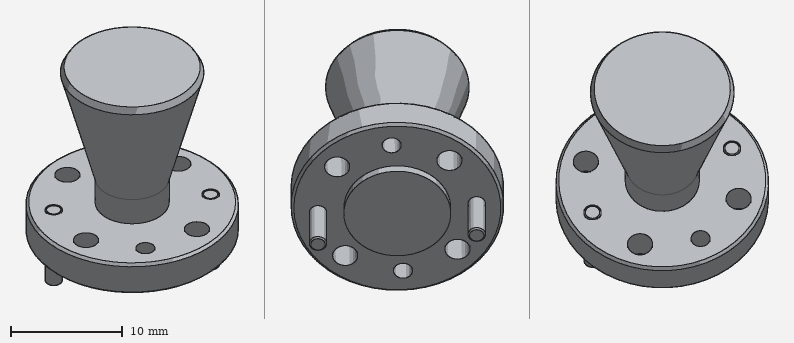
import cadquery as cq
import math

flange_diameter = 19.05
flange_radius = flange_diameter / 2
flange_thickness = 3.3
flange_chamfer = 0.25
boss_radius = 4.8
boss_height = 0.8

overall_height = 22.92
neck_radius = 3.32
neck_height = 2.68
knob_radius = 6.45
knob_top_radius = 6.1
knob_bevel_height = 0.62

hole_circle_radius = 7.13
screw_hole_radius = 1.12
dowel_hole_radius = 0.85
screw_hole_angles = (0, 90, 180, 270)
dowel_hole_angles = (135, 315)
pin_angles = (45, 225)

pin_radius = 0.78
pin_chamfer = 0.14
pin_projection = 4.65

neck_top = flange_thickness + neck_height
knob_top = overall_height - pin_projection
knob_rim = knob_top - knob_bevel_height


def on_hole_circle(angle):
    """Return the XY point on the hole circle at an angle in degrees."""
    turn = math.radians(angle)
    return (hole_circle_radius * math.cos(turn), hole_circle_radius * math.sin(turn))


def cut_through_flange(body, angles, radius):
    """Cut round holes through the flange on the hole circle."""
    points = [on_hole_circle(angle) for angle in angles]
    drills = cq.Workplane("XY").pushPoints(points).circle(radius).extrude(flange_thickness)
    return body.cut(drills)


def make_flanged_knob():
    """Revolve the boss, flange, neck and flared knob, then cut the flange holes."""
    profile = [
        (0, -boss_height),
        (boss_radius, -boss_height),
        (boss_radius, 0),
        (flange_radius - flange_chamfer, 0),
        (flange_radius, flange_chamfer),
        (flange_radius, flange_thickness - flange_chamfer),
        (flange_radius - flange_chamfer, flange_thickness),
        (neck_radius, flange_thickness),
        (neck_radius, neck_top),
        (knob_radius, knob_rim),
        (knob_top_radius, knob_top),
        (0, knob_top),
    ]
    body = cq.Workplane("XZ").polyline(profile).close().revolve(360, (0, 0, 0), (0, 1, 0))
    body = cut_through_flange(body, screw_hole_angles, screw_hole_radius)
    body = cut_through_flange(body, dowel_hole_angles, dowel_hole_radius)
    return cut_through_flange(body, pin_angles, pin_radius)


def make_pin(angle):
    """Make a pin with chamfered ends, flush with the flange top and projecting below it."""
    x, y = on_hole_circle(angle)
    pin = cq.Workplane("XY").circle(pin_radius).extrude(pin_projection + flange_thickness)
    pin = pin.faces("<Z or >Z").chamfer(pin_chamfer)
    return pin.translate((x, y, -pin_projection))


flanged_knob = make_flanged_knob()
pins = [make_pin(angle) for angle in pin_angles]

result = cq.Compound.makeCompound([flanged_knob.val(), *[pin.val() for pin in pins]])